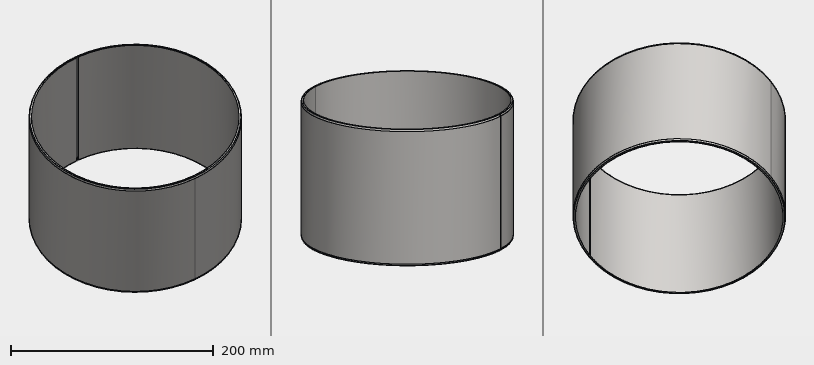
import cadquery as cq

outer_diameter = 210.0
height = 140.0
wall = 2.5
bevel_height = 1.9
bevel_inset = 0.74
slit_width = 1.7

outer_radius = outer_diameter / 2
inner_radius = outer_radius - wall
rim_radius = outer_radius - bevel_inset
half_height = height / 2
bevel_start = half_height - bevel_height


def bevelled_sleeve():
    """Thin open tube, centred on the origin, with steep bevels on both outer rims."""
    wall_section = [
        (inner_radius, -half_height),
        (rim_radius, -half_height),
        (outer_radius, -bevel_start),
        (outer_radius, bevel_start),
        (rim_radius, half_height),
        (inner_radius, half_height),
    ]
    return cq.Workplane("XZ").polyline(wall_section).close().revolve(360, (0, 0, 0), (0, 1, 0))


def slit():
    """Full-height cutter through the -X wall, with one face on the XZ plane and the other toward +Y."""
    cutter = cq.Workplane("XY").box(outer_radius, slit_width, height)
    return cutter.translate((-outer_radius, slit_width / 2, 0))


result = bevelled_sleeve().cut(slit())